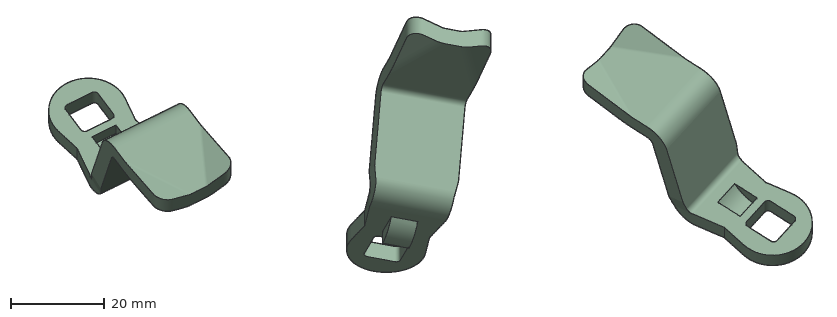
import cadquery as cq
import math

THICKNESS = 4.0
BEND_RADIUS = 1.5
OUTER_RADIUS = BEND_RADIUS + THICKNESS
WALL_LEAN = math.radians(15)
WALL_BEND = math.pi / 2 - WALL_LEAN
LENGTH = 54.0
WIDTH = 19.0
HALF_WIDTH = WIDTH / 2
FLANGE_BOTTOM = 24.0
FLANGE_TOP = FLANGE_BOTTOM + THICKNESS

HEAD_RADIUS = 8.55
NECK_X = 16.0
NECK_HALF = 7.35
FLARE = math.radians(10)
LOWER_BEND_X = 23.4
HOLE_X = 9.0
HOLE_SIZE = 8.15
HOLE_CORNER = 0.95

STOP_X = 15.0
STOP_LENGTH = 6.05
STOP_WIDTH = 6.0
STOP_DEPTH = 3.0

CORNER_RADIUS = 3.0
WING_ANGLE = math.radians(20)
FOLD_START_X = 38.75
FOLD_TIP_HALF = 1.8

REACH = 2 * LENGTH
PIVOT_GAP = 0.25


def polar(center, radius, angle):
    """Point at a radius and angle from a centre."""
    return (center[0] + radius * math.cos(angle), center[1] + radius * math.sin(angle))


def bent_sheet():
    """Full-width Z-shaped sheet, with two equal and opposite bends."""
    lower = (LOWER_BEND_X, OUTER_RADIUS)
    upper_z = FLANGE_BOTTOM - BEND_RADIUS
    normal_offset = BEND_RADIUS + OUTER_RADIUS
    wall_length = (upper_z - lower[1] + normal_offset * math.sin(WALL_LEAN)) / math.cos(WALL_LEAN)
    upper_x = lower[0] + normal_offset * math.cos(WALL_LEAN) + wall_length * math.sin(WALL_LEAN)
    upper = (upper_x, upper_z)

    down = -math.pi / 2
    low_end = -WALL_LEAN
    low_mid = (down + low_end) / 2
    up = math.pi / 2
    high_end = math.pi - WALL_LEAN
    high_mid = (up + high_end) / 2
    return (
        cq.Workplane("XZ")
        .moveTo(0, 0)
        .lineTo(LOWER_BEND_X, 0)
        .threePointArc(polar(lower, OUTER_RADIUS, low_mid), polar(lower, OUTER_RADIUS, low_end))
        .lineTo(*polar(upper, BEND_RADIUS, high_end))
        .threePointArc(polar(upper, BEND_RADIUS, high_mid), (upper_x, FLANGE_BOTTOM))
        .lineTo(LENGTH, FLANGE_BOTTOM)
        .lineTo(LENGTH, FLANGE_TOP)
        .lineTo(upper_x, FLANGE_TOP)
        .threePointArc(polar(upper, OUTER_RADIUS, high_mid), polar(upper, OUTER_RADIUS, high_end))
        .lineTo(*polar(lower, BEND_RADIUS, low_end))
        .threePointArc(polar(lower, BEND_RADIUS, low_mid), (LOWER_BEND_X, THICKNESS))
        .lineTo(0, THICKNESS)
        .close()
        .extrude(HALF_WIDTH, both=True)
    )


def trim_sides(sheet):
    """Narrow the sheet to its waisted plate and flared wall."""
    corner_x = LOWER_BEND_X + BEND_RADIUS * math.tan(WALL_BEND / 2)
    bend_half = NECK_HALF + (LOWER_BEND_X - NECK_X) * math.tan(FLARE)
    wall_half = NECK_HALF + (corner_x - NECK_X) * math.tan(FLARE)
    flare_length = (HALF_WIDTH - wall_half) / math.tan(FLARE)

    tangent = polar((HEAD_RADIUS, 0), HEAD_RADIUS, math.pi / 2 - FLARE)
    plate = (
        cq.Workplane("XY")
        .moveTo(tangent[0], -tangent[1])
        .threePointArc((0, 0), tangent)
        .lineTo(NECK_X, NECK_HALF)
        .lineTo(LOWER_BEND_X, bend_half)
        .lineTo(LOWER_BEND_X, -bend_half)
        .lineTo(NECK_X, -NECK_HALF)
        .close()
        .extrude(THICKNESS)
    )

    wall_normal = (math.cos(WALL_LEAN), 0, -math.sin(WALL_LEAN))
    wall_plane = cq.Plane(origin=(corner_x, 0, THICKNESS), xDir=(0, 1, 0), normal=wall_normal)
    wall_side = [(wall_half, 0), (HALF_WIDTH, flare_length), (HALF_WIDTH, REACH)]
    wall_outline = wall_side + [(-y, u) for y, u in reversed(wall_side)]
    wall_zone = cq.Workplane(wall_plane).polyline(wall_outline).close().extrude(REACH, both=True)

    pivot_z = THICKNESS + (corner_x - LOWER_BEND_X) * math.tan(WALL_LEAN)

    def fan_section(angle, half):
        points = []
        for radius, y in [(PIVOT_GAP, -half), (PIVOT_GAP, half),
                          (2 * OUTER_RADIUS, half), (2 * OUTER_RADIUS, -half)]:
            x, z = polar((LOWER_BEND_X, pivot_z), radius, angle)
            points.append(cq.Vector(x, y, z))
        return cq.Wire.makePolygon(points, close=True)

    sections = [fan_section(-math.pi / 2, bend_half), fan_section(-WALL_LEAN, wall_half)]
    bend_zone = cq.Workplane(obj=cq.Solid.makeLoft(sections, True))
    return plate.union(sheet.intersect(bend_zone)).union(sheet.intersect(wall_zone))


def fold_wings(body):
    """Turn the two tip corners up along slanted folds and round them."""
    run = LENGTH - FOLD_START_X
    fold_angle = math.atan2(HALF_WIDTH - FOLD_TIP_HALF, run)
    along = (math.cos(fold_angle), -math.sin(fold_angle), 0)
    fold_plane = cq.Plane(
        origin=(FOLD_START_X, HALF_WIDTH, FLANGE_BOTTOM),
        xDir=(math.sin(fold_angle), math.cos(fold_angle), 0),
        normal=along,
    )
    center = (0, OUTER_RADIUS)
    start = -math.pi / 2
    end = start + WING_ANGLE
    middle = (start + end) / 2
    inner_end = polar(center, BEND_RADIUS, end)
    outer_end = polar(center, OUTER_RADIUS, end)
    rise = (WIDTH * math.cos(WING_ANGLE), WIDTH * math.sin(WING_ANGLE))
    wing = (
        cq.Workplane(fold_plane)
        .moveTo(0, 0)
        .threePointArc(polar(center, OUTER_RADIUS, middle), outer_end)
        .line(*rise)
        .lineTo(inner_end[0] + rise[0], inner_end[1] + rise[1])
        .lineTo(*inner_end)
        .threePointArc(polar(center, BEND_RADIUS, middle), (0, THICKNESS))
        .close()
        .extrude(LENGTH, both=True)
    )
    corner_zone = (
        cq.Workplane("XY", origin=(0, 0, FLANGE_BOTTOM))
        .polyline([(FOLD_START_X, HALF_WIDTH), (LENGTH, FOLD_TIP_HALF), (LENGTH, HALF_WIDTH)])
        .close()
        .extrude(LENGTH)
    )
    rounded_zone = corner_zone.edges(
        cq.selectors.NearestToPointSelector((LENGTH, HALF_WIDTH, FLANGE_BOTTOM + LENGTH / 2))
    ).fillet(CORNER_RADIUS)
    wing = wing.intersect(rounded_zone)
    for cut, added in [(corner_zone, wing), (corner_zone.mirror("XZ"), wing.mirror("XZ"))]:
        body = body.cut(cut).union(added)
    return body


def stop_shape(top_z):
    """Block with a curved underside, level with top_z at its far end."""
    arc_radius = (STOP_LENGTH**2 + STOP_DEPTH**2) / (2 * STOP_DEPTH)
    arc_center = (STOP_X, top_z - STOP_DEPTH + arc_radius)
    half_sweep = math.asin(STOP_LENGTH / arc_radius) / 2
    return (
        cq.Workplane("XZ")
        .moveTo(STOP_X, top_z)
        .lineTo(STOP_X, top_z - STOP_DEPTH)
        .threePointArc(
            polar(arc_center, arc_radius, half_sweep - math.pi / 2),
            (STOP_X + STOP_LENGTH, top_z),
        )
        .close()
        .extrude(STOP_WIDTH / 2, both=True)
    )


def square_hole():
    """Rounded square opening through the lower plate."""
    return (
        cq.Workplane("XY")
        .center(HOLE_X, 0)
        .rect(HOLE_SIZE, HOLE_SIZE)
        .extrude(THICKNESS)
        .edges("|Z")
        .fillet(HOLE_CORNER)
    )


body = fold_wings(trim_sides(bent_sheet()))
body = body.cut(square_hole())
result = body.cut(stop_shape(THICKNESS)).union(stop_shape(0))